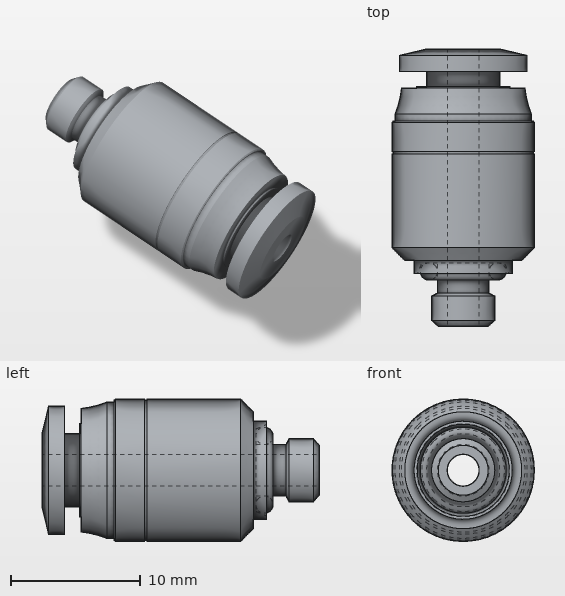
import cadquery as cq


bore_radius = 1.22

spigot_radius = 2.45
tip_radius = 1.93
tip_chamfer_end = 0.47
spigot_end = 2.33
neck_radius = 2.0
neck_start = 2.57

ring_section_radius = 0.66
ring_center_radius = neck_radius + ring_section_radius
ring_front = 3.57
ring_center_y = ring_front + ring_section_radius

collar_radius = 3.79
collar_front = 4.07
recess_mouth_radius = 3.55
recess_floor_radius = 3.19
recess_floor = ring_center_y + ring_section_radius

barrel_radius = 5.5
barrel_face_radius = 4.52
barrel_front = 5.1
barrel_chamfer_end = 6.08
groove_radius = 5.41
groove_front = 13.3
groove_back = 13.48
barrel_edge_chamfer = barrel_radius - groove_radius
barrel_back = 15.84

band_radius = 5.26
band_end = 16.4
taper_mid_radius = 4.95
taper_end_radius = 4.77
taper_end = 18.38
taper_mid = (band_end + taper_end) / 2
rear_lip_radius = 3.6
rear_lip_end = 18.51

stem_radius = 2.82
flange_radius = 4.95
flange_front = 19.67
flange_back = 20.9
button_face_radius = 2.87
overall_length = 21.4


def revolve_about_y(profile):
    """Revolve a closed XY profile, with X as radius, about the Y axis."""
    return profile.close().revolve(360, (0, 0, 0), (0, 1, 0))


def make_fitting():
    """Spigot, barrel and release button, as one turned body with a through bore."""
    profile = (
        cq.Workplane("XY")
        .moveTo(bore_radius, 0)
        .lineTo(tip_radius, 0)
        .lineTo(spigot_radius, tip_chamfer_end)
        .lineTo(spigot_radius, spigot_end)
        .lineTo(neck_radius, neck_start)
        .lineTo(neck_radius, recess_floor)
        .lineTo(recess_floor_radius, recess_floor)
        .lineTo(recess_mouth_radius, collar_front)
        .lineTo(collar_radius, collar_front)
        .lineTo(collar_radius, barrel_front)
        .lineTo(barrel_face_radius, barrel_front)
        .lineTo(barrel_radius, barrel_chamfer_end)
        .lineTo(barrel_radius, groove_front)
        .lineTo(groove_radius, groove_front)
        .lineTo(groove_radius, groove_back)
        .lineTo(barrel_radius, groove_back)
        .lineTo(barrel_radius, barrel_back - barrel_edge_chamfer)
        .lineTo(barrel_radius - barrel_edge_chamfer, barrel_back)
        .lineTo(band_radius, barrel_back)
        .lineTo(band_radius, band_end)
        .threePointArc((taper_mid_radius, taper_mid), (taper_end_radius, taper_end))
        .lineTo(rear_lip_radius, taper_end)
        .lineTo(rear_lip_radius, rear_lip_end)
        .lineTo(stem_radius, rear_lip_end)
        .lineTo(stem_radius, flange_front)
        .lineTo(flange_radius, flange_front)
        .lineTo(flange_radius, flange_back)
        .lineTo(button_face_radius, overall_length)
        .lineTo(bore_radius, overall_length)
    )
    return revolve_about_y(profile)


def make_sealing_ring():
    """Ring of round section around the neck."""
    section = cq.Workplane("XY").center(ring_center_radius, ring_center_y).circle(ring_section_radius)
    axis_start = (-ring_center_radius, 0, 0)
    axis_end = (-ring_center_radius, 1, 0)
    return section.revolve(360, axis_start, axis_end)


fitting = make_fitting()
sealing_ring = make_sealing_ring()

result = cq.Compound.makeCompound([fitting.val(), sealing_ring.val()])